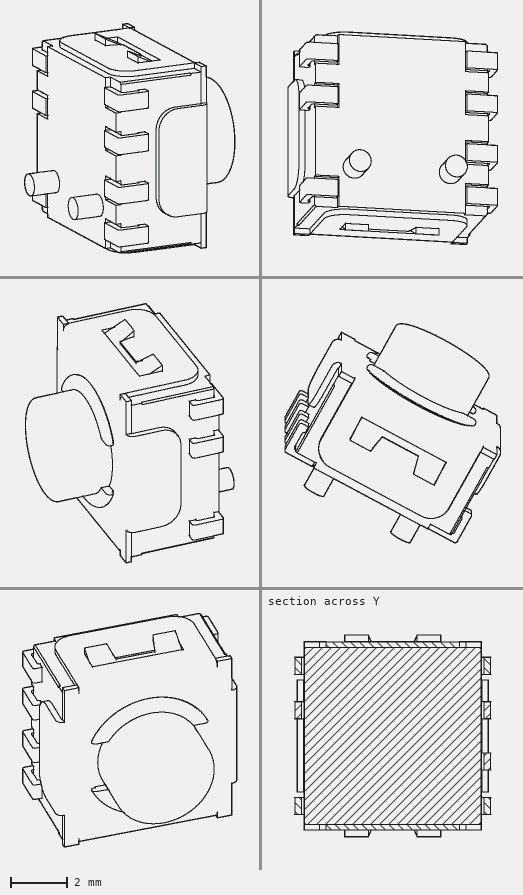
import cadquery as cq
import math


housing_half = 3.16
housing_bottom = 3.6
rim_bottom = 0.61
edge_chamfer = 0.065
post_diameter = 0.8
post_end = 4.6
post_x = 1.76
post_z = -1.7

sheet = 0.2
bend_radius = 0.245
flap_corner_radius = 0.75
end_flap_half_width = 2.61
end_flap_depth = 3.26
end_flap_face = housing_half + sheet
side_flap_half_width = 2.0
side_flap_depth = 2.01
side_flap_face = 3.41
side_flap_gap = 0.03

catch_tip = 3.6
window_half_width = 1.71
window_top = 1.115
window_bottom = 2.01
tongue_top = 1.4
tongue_top_half_width = 0.735
tongue_root_half_width = 0.87

contact_half_span = 3.5
contact_bottom = 3.65
contact_height = 1.21
contact_width = 0.62
contact_thickness = 0.25
contact_outer_radius = 0.09
contact_inner_radius = 0.07
foot_end_x = 2.355
outer_row_z = 2.5
inner_row_z = 0.915
paired_rows = [outer_row_z, inner_row_z, -outer_row_z]
single_row = -inner_row_z
foot_clearance = 0.035
recess_half_width = 0.44

button_diameter = 3.8
button_height = 1.8
button_edge_radius = 0.09
lobe_radius = 2.42
lobe_bottom = 0.065
lobe_top = 0.31
lobe_rim_radius = 0.145
lobe_neck_radius = 2.25
lobe_start_z = 1.02


def box(x0, x1, y0, y1, z0, z1):
    """Box between two opposite corners."""
    return cq.Workplane("XY").box(x1 - x0, y1 - y0, z1 - z0, centered=False).translate((x0, y0, z0))


def centred_box(half_x, y0, y1, half_z):
    """Box that is symmetric about the button axis."""
    return box(-half_x, half_x, y0, y1, -half_z, half_z)


def disc(radius, y0, y1):
    """Cylinder on the button axis."""
    return cq.Workplane("XZ", origin=(0, y1, 0)).circle(radius).extrude(y1 - y0)


def mirrored_z(shape):
    """The shape and its mirror image on the other Z end."""
    return shape.union(shape.mirror("XY"))


def window_prism(z0, z1):
    """Window outline: a rectangle with a tapered tongue standing in its lower edge."""
    outline = [
        (-window_half_width, -window_top),
        (window_half_width, -window_top),
        (window_half_width, -window_bottom),
        (tongue_root_half_width, -window_bottom),
        (tongue_top_half_width, -tongue_top),
        (-tongue_top_half_width, -tongue_top),
        (-tongue_root_half_width, -window_bottom),
        (-window_half_width, -window_bottom),
    ]
    return cq.Workplane("XY", origin=(0, 0, z0)).polyline(outline).close().extrude(z1 - z0)


def make_catches():
    """Ramps on both Z ends that rise from the housing towards the lower window edge."""
    ramp_outline = [
        (-window_top, housing_half),
        (-window_bottom, catch_tip),
        (-window_bottom, housing_half),
    ]
    ramp = cq.Workplane("YZ").polyline(ramp_outline).close().extrude(window_half_width, both=True)
    return mirrored_z(ramp.intersect(window_prism(housing_half, catch_tip)))


def make_contact(row_z):
    """Strap through the housing, bent down on both sides into inward soldering feet."""
    contact_top = contact_bottom - contact_height
    half_width = contact_width / 2
    inner_half_span = contact_half_span - contact_thickness
    contact = centred_box(contact_half_span, -contact_bottom, -contact_top, half_width)
    contact = contact.edges("|Z").fillet(contact_outer_radius)
    inside = centred_box(
        inner_half_span,
        -contact_bottom + contact_thickness,
        -contact_top - contact_thickness,
        half_width,
    )
    inside = inside.edges("|Z").fillet(contact_inner_radius)
    foot_gap = centred_box(foot_end_x, -contact_bottom, -contact_top - contact_thickness, half_width)
    return contact.cut(inside).cut(foot_gap).translate((0, 0, row_z))


def make_single_contact(row_z):
    """The +X end of a contact, with a strap as long as its foot."""
    kept = box(
        foot_end_x,
        contact_half_span,
        -contact_bottom,
        0,
        row_z - contact_width / 2,
        row_z + contact_width / 2,
    )
    return make_contact(row_z).intersect(kept)


def foot_recess(side, row_z):
    """Recess in the housing bottom for one foot; in the outer rows it is open at the Z end."""
    inner_x = foot_end_x - foot_clearance
    z_edges = [row_z - recess_half_width, row_z + recess_half_width]
    if abs(row_z) == outer_row_z:
        z_edges = [abs(row_z) - recess_half_width, housing_half]
        z_edges = sorted(math.copysign(z, row_z) for z in z_edges)
    recess = box(
        inner_x,
        housing_half,
        -housing_bottom,
        -contact_bottom + contact_thickness,
        *z_edges,
    )
    if side < 0:
        recess = recess.mirror("YZ")
    return recess


def make_housing(contacts):
    """Square block with locating posts, catches, foot recesses and slots for the contacts."""
    rim = centred_box(housing_half, -rim_bottom, -sheet, housing_half)
    base = centred_box(housing_half, -housing_bottom, -rim_bottom, housing_half)
    base = base.edges("|Y").chamfer(edge_chamfer)
    posts = (
        cq.Workplane("XZ", origin=(0, -housing_bottom, 0))
        .pushPoints([(-post_x, post_z), (post_x, post_z)])
        .circle(post_diameter / 2)
        .extrude(post_end - housing_bottom)
    )
    housing = base.union(rim).union(make_catches()).union(posts)
    for row_z in paired_rows:
        housing = housing.cut(foot_recess(-1, row_z)).cut(foot_recess(1, row_z))
    housing = housing.cut(foot_recess(1, single_row))
    for contact in contacts:
        housing = housing.cut(contact)
    return housing


def make_end_flaps():
    """Flaps on both Z ends, with rounded lower corners and a window for the catch."""
    flap = box(
        -end_flap_half_width,
        end_flap_half_width,
        -end_flap_depth,
        0,
        housing_half - sheet,
        end_flap_face,
    )
    flap = flap.edges("|Z and <Y").fillet(flap_corner_radius)
    flap = flap.edges(">Y and >Z").fillet(bend_radius)
    flap = flap.cut(window_prism(housing_half, end_flap_face))
    return mirrored_z(flap)


def make_side_flaps():
    """Flaps on both X sides, bent down from the plate and standing just off the housing."""
    flaps = centred_box(side_flap_face, -side_flap_depth, 0, side_flap_half_width)
    flaps = flaps.edges("|X and <Y").fillet(flap_corner_radius)
    flaps = flaps.edges("|Z and >Y").fillet(bend_radius)
    inner_face = housing_half + side_flap_gap
    inner_bend_radius = bend_radius - (side_flap_face - inner_face)
    inside = centred_box(inner_face, -side_flap_depth, -sheet, side_flap_half_width)
    return flaps.cut(inside.edges("|Z and >Y").fillet(inner_bend_radius))


def make_cover():
    """Plate with square ears at its corners and a flap on each side."""
    plate = centred_box(housing_half, -sheet, 0, end_flap_face)
    end_gap = box(
        -end_flap_half_width,
        end_flap_half_width,
        -sheet,
        0,
        housing_half - sheet,
        end_flap_face,
    )
    plate = plate.cut(mirrored_z(end_gap))
    inside = centred_box(housing_half, -housing_bottom, -sheet, housing_half)
    cover = plate.union(make_end_flaps().cut(inside)).union(make_side_flaps())
    return cover.cut(disc(button_diameter / 2, -sheet, 0))


def make_collar():
    """Ring whose rim is one arc, from the flat top past the widest point to the underside."""
    rim_centre_x = lobe_radius - lobe_rim_radius
    rim_centre_y = lobe_top - lobe_rim_radius
    underside_rise = lobe_bottom - rim_centre_y
    underside_radius = rim_centre_x + math.sqrt(lobe_rim_radius**2 - underside_rise**2)
    section = (
        cq.Workplane("XY")
        .moveTo(0, lobe_bottom)
        .lineTo(underside_radius, lobe_bottom)
        .threePointArc((lobe_radius, rim_centre_y), (rim_centre_x, lobe_top))
        .lineTo(0, lobe_top)
        .close()
    )
    return section.revolve(360, (0, 0, 0), (0, 1, 0))


def make_button():
    """Round button with two lobed collars that rest on the cover plate."""
    cap = disc(button_diameter / 2, -sheet, button_height)
    cap = cap.faces(">Y").edges().fillet(button_edge_radius)
    collar = make_collar().union(disc(lobe_neck_radius, 0, lobe_bottom))
    between_lobes = centred_box(lobe_radius, 0, lobe_top, lobe_start_z)
    return cap.union(collar.cut(between_lobes))


contacts = [make_contact(row_z) for row_z in paired_rows]
contacts.append(make_single_contact(single_row))
housing = make_housing(contacts)
cover = make_cover()
button = make_button()

bodies = [housing, cover, button, *contacts]
result = cq.Compound.makeCompound([body.solids().val() for body in bodies])